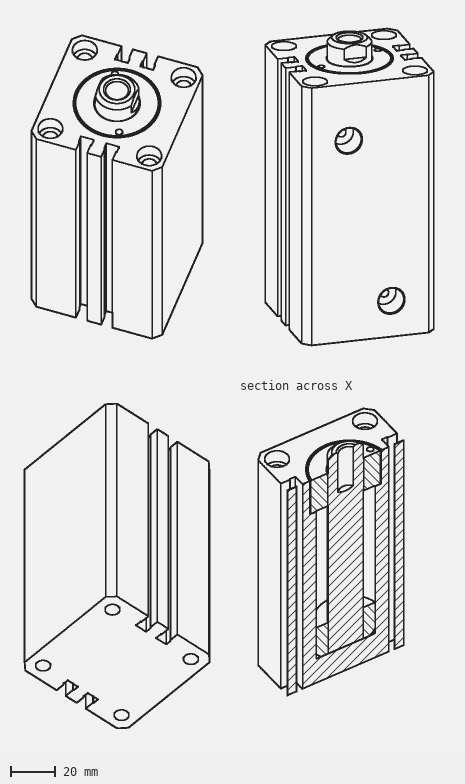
import cadquery as cq
import math

HOUSING_WIDTH = 62.0
HOUSING_HEIGHT = 123.0
CORNER_CHAMFER = 3.6
BORE_RADIUS = 16.0

SLOT_OFFSET = 6.0
SLOT_NECK_WIDTH = 5.3
SLOT_HEAD_WIDTH = 6.1
SLOT_NECK_DEPTH = 4.9
SLOT_DEPTH = 8.0

MOUNT_OFFSET = 23.4
MOUNT_DIAMETER = 6.6
MOUNT_HEAD_DIAMETER = 11.0
MOUNT_HEAD_DEPTH = 6.5

PORT_OFFSET = 10.0
UPPER_PORT_Z = 95.9
LOWER_PORT_Z = 17.2
PORT_MOUTH_DIAMETER = 12.6
PORT_INNER_DIAMETER = 10.9
PORT_CHAMFER = 0.4
PORT_DEPTH = 10.6
PASSAGE_DIAMETER = 4.0

GLAND_SEAT_RADIUS = 19.2
GLAND_RADIUS = 18.9
GLAND_HEIGHT = 20.0
GLAND_CHAMFER = 0.4
ROD_HOLE_CHAMFER = 0.4
PIN_HOLE_DIAMETER = 3.0
PIN_HOLE_DEPTH = 4.0
PIN_HOLE_RADIUS = 16.4
PIN_HOLE_ANGLE = 112.5

ROD_RADIUS = 10.0
ROD_TOP_Z = 133.0
ROD_CHAMFER = 2.0
FLAT_HALF_WIDTH = 8.5
FLAT_BOTTOM_Z = 126.1
THREAD_DIAMETER = 10.2
THREAD_MOUTH_DIAMETER = 12.0
THREAD_DEPTH = 24.0

PISTON_BOTTOM_Z = 14.8
PISTON_HEIGHT = 18.6
PISTON_CHAMFER = 2.0
PISTON_TAPER = 0.23
PISTON_TAPER_HEIGHT = 0.9

DRILL_POINT_ANGLE = 118.0

HALF_WIDTH = HOUSING_WIDTH / 2
GLAND_BOTTOM_Z = HOUSING_HEIGHT - GLAND_HEIGHT
PISTON_TOP_Z = PISTON_BOTTOM_Z + PISTON_HEIGHT


def cylinder(radius, bottom_z, top_z):
    """Vertical cylinder on the cylinder axis."""
    return cq.Workplane("XY").workplane(offset=bottom_z).circle(radius).extrude(top_z - bottom_z)


def revolved(profile):
    """Solid of revolution about the cylinder axis from a closed outline of (radius, z) points."""
    return cq.Workplane("XZ").polyline(profile).close().revolve(360, (0, 0, 0), (0, 1, 0))


def cone_mouth(radius, chamfer, top_z):
    """Cutter for a 45-degree chamfer around a vertical hole that opens at top_z."""
    profile = [(0, top_z), (radius + chamfer, top_z), (radius, top_z - chamfer), (0, top_z - chamfer)]
    return revolved(profile)


def drilled_hole(diameter, depth, top_z):
    """Cutter for a blind hole with a drill point, drilled down from top_z."""
    radius = diameter / 2
    floor_z = top_z - depth
    tip_z = floor_z - radius / math.tan(math.radians(DRILL_POINT_ANGLE / 2))
    profile = [(0, top_z), (radius, top_z), (radius, floor_z), (0, tip_z)]
    return revolved(profile)


def slot_cutter(center_x, side):
    """T-shaped slot in the face at Y = side * HALF_WIDTH."""
    neck_middle_y = side * (HALF_WIDTH - SLOT_NECK_DEPTH / 2)
    head_middle_y = side * (HALF_WIDTH - (SLOT_NECK_DEPTH + SLOT_DEPTH) / 2)
    neck = cq.Workplane("XY").center(center_x, neck_middle_y).rect(SLOT_NECK_WIDTH, SLOT_NECK_DEPTH)
    head = cq.Workplane("XY").center(center_x, head_middle_y)
    head = head.rect(SLOT_HEAD_WIDTH, SLOT_DEPTH - SLOT_NECK_DEPTH)
    return neck.extrude(HOUSING_HEIGHT).union(head.extrude(HOUSING_HEIGHT))


def port_cutter(y, z):
    """Tapered port in the -X face with its passage to the bore."""
    mouth_radius = PORT_MOUTH_DIAMETER / 2
    passage_radius = PASSAGE_DIAMETER / 2
    profile = [
        (-HALF_WIDTH, 0),
        (-HALF_WIDTH, mouth_radius),
        (-HALF_WIDTH + PORT_CHAMFER, mouth_radius - PORT_CHAMFER),
        (-HALF_WIDTH + PORT_DEPTH, PORT_INNER_DIAMETER / 2),
        (-HALF_WIDTH + PORT_DEPTH, passage_radius),
        (0, passage_radius),
        (0, 0),
    ]
    cutter = cq.Workplane("XZ").polyline(profile).close().revolve(360, (0, 0, 0), (1, 0, 0))
    return cutter.translate((0, y, z))


def make_housing():
    block = cq.Workplane("XY").rect(HOUSING_WIDTH, HOUSING_WIDTH).extrude(HOUSING_HEIGHT)
    block = block.edges("|Z").chamfer(CORNER_CHAMFER)
    for side in (-1, 1):
        for center_x in (-SLOT_OFFSET, SLOT_OFFSET):
            block = block.cut(slot_cutter(center_x, side))
    block = (
        block.faces(">Z")
        .workplane(origin=(0, 0, HOUSING_HEIGHT))
        .rect(2 * MOUNT_OFFSET, 2 * MOUNT_OFFSET, forConstruction=True)
        .vertices()
        .cboreHole(MOUNT_DIAMETER, MOUNT_HEAD_DIAMETER, MOUNT_HEAD_DEPTH)
    )
    block = block.cut(cylinder(BORE_RADIUS, PISTON_BOTTOM_Z, GLAND_BOTTOM_Z))
    block = block.cut(cylinder(GLAND_SEAT_RADIUS, GLAND_BOTTOM_Z, HOUSING_HEIGHT))
    block = block.cut(cone_mouth(GLAND_SEAT_RADIUS, GLAND_CHAMFER, HOUSING_HEIGHT))
    block = block.cut(port_cutter(PORT_OFFSET, UPPER_PORT_Z))
    return block.cut(port_cutter(-PORT_OFFSET, LOWER_PORT_Z))


def make_gland():
    disc = cylinder(GLAND_RADIUS, GLAND_BOTTOM_Z, HOUSING_HEIGHT).faces(">Z").chamfer(GLAND_CHAMFER)
    disc = disc.cut(cylinder(ROD_RADIUS, GLAND_BOTTOM_Z, HOUSING_HEIGHT))
    disc = disc.cut(cone_mouth(ROD_RADIUS, ROD_HOLE_CHAMFER, HOUSING_HEIGHT))
    pin_hole = drilled_hole(PIN_HOLE_DIAMETER, PIN_HOLE_DEPTH, HOUSING_HEIGHT)
    for angle in (PIN_HOLE_ANGLE, PIN_HOLE_ANGLE + 180):
        x = PIN_HOLE_RADIUS * math.cos(math.radians(angle))
        y = PIN_HOLE_RADIUS * math.sin(math.radians(angle))
        disc = disc.cut(pin_hole.translate((x, y, 0)))
    return disc


def flat_cutter(side):
    """Wrench flat on the side * X side of the rod, running out at 45 degrees at its lower end."""
    runout = ROD_RADIUS - FLAT_HALF_WIDTH
    profile = [
        (side * FLAT_HALF_WIDTH, ROD_TOP_Z),
        (side * ROD_RADIUS, ROD_TOP_Z),
        (side * ROD_RADIUS, FLAT_BOTTOM_Z - runout),
        (side * FLAT_HALF_WIDTH, FLAT_BOTTOM_Z),
    ]
    return cq.Workplane("XZ").polyline(profile).close().extrude(ROD_RADIUS, both=True)


def make_rod():
    rod = cylinder(ROD_RADIUS, PISTON_BOTTOM_Z, ROD_TOP_Z).faces(">Z").chamfer(ROD_CHAMFER)
    for side in (-1, 1):
        rod = rod.cut(flat_cutter(side))
    thread_chamfer = (THREAD_MOUTH_DIAMETER - THREAD_DIAMETER) / 2
    rod = rod.cut(drilled_hole(THREAD_DIAMETER, THREAD_DEPTH, ROD_TOP_Z))
    return rod.cut(cone_mouth(THREAD_DIAMETER / 2, thread_chamfer, ROD_TOP_Z))


def make_piston():
    """Ring on the lower end of the rod; its lower rim tapers slightly and then has a 45-degree chamfer."""
    taper_radius = BORE_RADIUS - PISTON_TAPER
    profile = [
        (ROD_RADIUS, PISTON_BOTTOM_Z),
        (taper_radius - PISTON_CHAMFER, PISTON_BOTTOM_Z),
        (taper_radius, PISTON_BOTTOM_Z + PISTON_CHAMFER),
        (BORE_RADIUS, PISTON_BOTTOM_Z + PISTON_CHAMFER + PISTON_TAPER_HEIGHT),
        (BORE_RADIUS, PISTON_TOP_Z),
        (ROD_RADIUS, PISTON_TOP_Z),
    ]
    return revolved(profile)


housing = make_housing()
gland = make_gland()
rod = make_rod()
piston = make_piston()

result = cq.Compound.makeCompound([housing.val(), gland.val(), rod.val(), piston.val()])